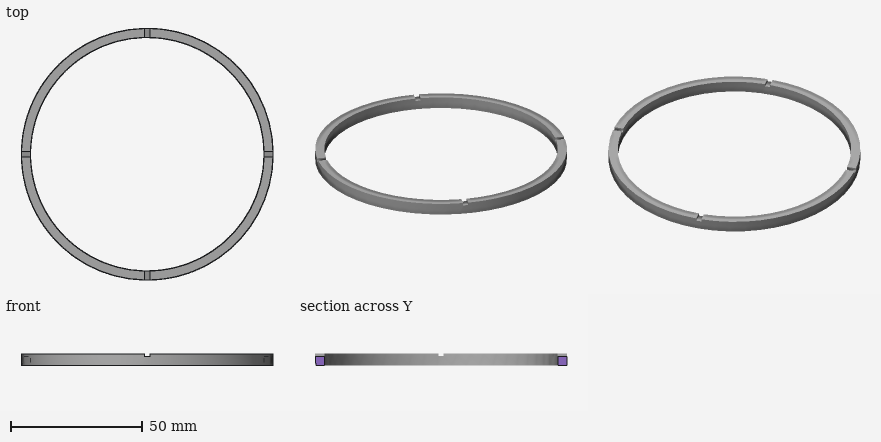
import cadquery as cq

outer_diameter = 96.0
inner_diameter = 89.0
height = 4.5

notch_width = 2.0
notch_depth = 1.0
cutter_length = outer_diameter + 2.0
notch_directions = (0, 90)


def make_ring():
    """Plain flat ring standing on Z = 0."""
    return (
        cq.Workplane("XY")
        .circle(outer_diameter / 2)
        .circle(inner_diameter / 2)
        .extrude(height)
    )


def make_notch_cutter(angle):
    """Bar spanning the ring's diameter, sunk into its top face."""
    return (
        cq.Workplane("XY")
        .workplane(offset=height - notch_depth)
        .rect(cutter_length, notch_width)
        .extrude(notch_depth)
        .rotate((0, 0, 0), (0, 0, 1), angle)
    )


result = make_ring()
for direction in notch_directions:
    result = result.cut(make_notch_cutter(direction))